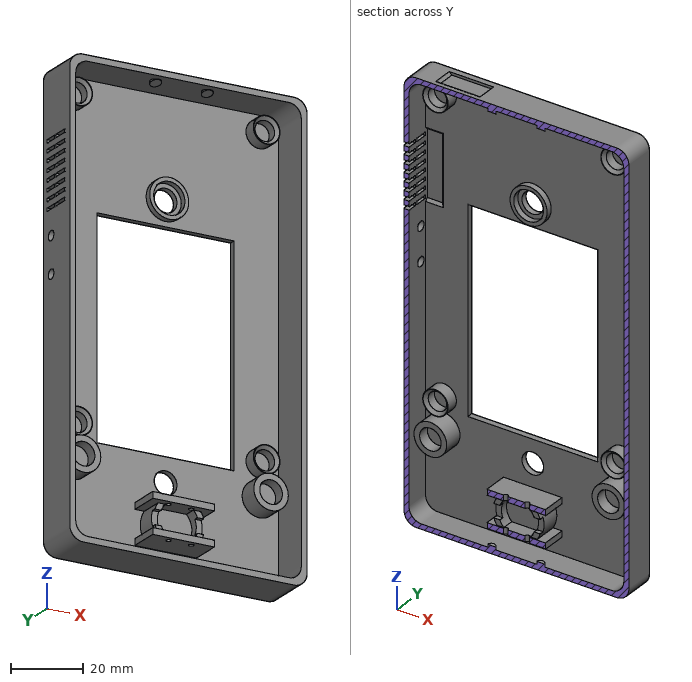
import cadquery as cq
WIDTH = 76.0
DEPTH = 14.8
HEIGHT = 145.0
WALL = 1.9
PLATE = 2.0
OUTER_RADIUS = 4.2
INNER_RADIUS = 4.0
FRONT_Y = -DEPTH / 2
BACK_Y = DEPTH / 2
PLATE_Y = BACK_Y - PLATE
OVERLAP = 0.7

WINDOW_WIDTH = 43.8
WINDOW_TOP = 31.8
WINDOW_BOTTOM = -36.5
MOUNT_HOLE = 7.2
UPPER_MOUNT_Z = 39.6
LOWER_MOUNT_Z = -44.4
MOUNT_BOSS = 12.5
MOUNT_BOSS_HEIGHT = 2.0
MOUNT_RECESS = 10.0
MOUNT_RECESS_DEPTH = 2.0

BOSS_X = 30.0
CORNER_BOSS_ZS = (65.0, -32.9)
CORNER_BOSS = 8.5
CORNER_BOSS_HEIGHT = 4.0
CORNER_MOUTH = 8.3
CORNER_BORE = 6.2
CORNER_BORE_DEPTH = 4.0
POST_Z = -43.5
POST = 11.0
POST_HEIGHT = 6.5
POST_BORE = 7.2
POST_BORE_DEPTH = 3.8

BRACKET_Z = -58.5
SHELF_WIDTH = 19.7
SHELF_THICKNESS = 2.0
SHELF_LENGTH = 10.0
SHELF_GAP = 8.7
SHELF_HOLE = 1.5
SHELF_HOLE_X = 3.6
SHELF_HOLE_Y = -2.6
CHEEK_OUTER = 16.2
CHEEK_INNER = 12.5
CHEEK_LENGTH = 7.7
CHEEK_BORE_DEPTH = 3.9
CHEEK_NOTCH_HEIGHT = 4.6
CHEEK_NOTCH_DEPTH = 1.5

STUD = 3.3
STUD_HEIGHT = 1.2
STUD_FRONT_HEIGHT = 0.1
STUD_X = 8.3
STUD_Y = -3.5

SLOT_ROWS = 8
SLOT_PITCH = 2.9
SLOT_HEIGHT = 1.0
SLOT_MID_Z = 39.7
SLOT_COLUMNS = ((1.2, 5.2), (-4.5, 0.3))
BUTTON_HOLE = 3.0
BUTTON_Y = 3.0
BUTTON_ZS = (21.2, 9.7)

PLATE_RECESS_TOP = 51.9
PLATE_RECESS_BOTTOM = 28.0
PLATE_RECESS_WIDTH = 6.0
TOP_RECESS_LEFT = -28.1
TOP_RECESS_RIGHT = -13.2
TOP_RECESS_FRONT = -1.2
RECESS_SLOPE = 0.9
RECESS_DEPTH = 0.9


def block(x0, x1, y0, y1, z0, z1):
    """Box given by its two limits along each axis."""
    return cq.Workplane("XY").box(x1 - x0, y1 - y0, z1 - z0, centered=False).translate((x0, y0, z0))


def cylinder_y(diameter, x, z, y0, y1):
    """Cylinder along Y between y0 and y1."""
    return cq.Workplane("XZ", origin=(x, y0, z)).circle(diameter / 2).extrude(y0 - y1)


def cylinder_z(diameter, x, y, z0, z1):
    """Cylinder along Z between z0 and z1."""
    return cq.Workplane("XY", origin=(x, y, z0)).circle(diameter / 2).extrude(z1 - z0)


def make_tray():
    outer = block(-WIDTH / 2, WIDTH / 2, FRONT_Y, BACK_Y, -HEIGHT / 2, HEIGHT / 2)
    half_x = WIDTH / 2 - WALL
    half_z = HEIGHT / 2 - WALL
    cavity = block(-half_x, half_x, FRONT_Y, PLATE_Y, -half_z, half_z)
    return outer.edges("|Y").fillet(OUTER_RADIUS).cut(cavity.edges("|Y").fillet(INNER_RADIUS))


def boss(diameter, x, z, height):
    return cylinder_y(diameter, x, z, PLATE_Y - height, PLATE_Y + OVERLAP)


def add_mounts(body):
    """Wall-mounting holes, the upper one in a counterbored boss."""
    body = body.union(boss(MOUNT_BOSS, 0, UPPER_MOUNT_Z, MOUNT_BOSS_HEIGHT))
    boss_face = PLATE_Y - MOUNT_BOSS_HEIGHT
    body = body.cut(cylinder_y(MOUNT_RECESS, 0, UPPER_MOUNT_Z, boss_face, boss_face + MOUNT_RECESS_DEPTH))
    for z in (UPPER_MOUNT_Z, LOWER_MOUNT_Z):
        body = body.cut(cylinder_y(MOUNT_HOLE, 0, z, FRONT_Y, BACK_Y))
    return body


def corner_boss(x, z):
    """Blind boss with a chamfered mouth."""
    face_y = PLATE_Y - CORNER_BOSS_HEIGHT
    bore = cylinder_y(CORNER_BORE, x, z, face_y, face_y + CORNER_BORE_DEPTH)
    mouth_depth = (CORNER_MOUTH - CORNER_BORE) / 2
    mouth = cq.Workplane(cq.Solid.makeCone(CORNER_MOUTH / 2, CORNER_BORE / 2, mouth_depth,
                                           cq.Vector(x, face_y, z), cq.Vector(0, 1, 0)))
    return boss(CORNER_BOSS, x, z, CORNER_BOSS_HEIGHT).cut(bore).cut(mouth)


def post(x, z):
    """Tall blind boss."""
    face_y = PLATE_Y - POST_HEIGHT
    return boss(POST, x, z, POST_HEIGHT).cut(cylinder_y(POST_BORE, x, z, face_y, face_y + POST_BORE_DEPTH))


def add_bosses(body):
    for x in (-BOSS_X, BOSS_X):
        for z in CORNER_BOSS_ZS:
            body = body.union(corner_boss(x, z))
        body = body.union(post(x, POST_Z))
    return body


def make_bracket():
    back = PLATE_Y + OVERLAP
    half_gap = SHELF_GAP / 2
    half_width = SHELF_WIDTH / 2
    cheek_front = PLATE_Y - CHEEK_LENGTH
    bore = cylinder_y(CHEEK_INNER, 0, 0, cheek_front, cheek_front + CHEEK_BORE_DEPTH)
    between_shelves = block(-half_width, half_width, cheek_front, back, -half_gap, half_gap)
    ring = cylinder_y(CHEEK_OUTER, 0, 0, cheek_front, back).cut(bore)
    bracket = ring.intersect(between_shelves)
    half_notch = CHEEK_NOTCH_HEIGHT / 2
    bracket = bracket.cut(block(-half_width, half_width, cheek_front, cheek_front + CHEEK_NOTCH_DEPTH,
                                -half_notch, half_notch))
    for z in (half_gap, -half_gap - SHELF_THICKNESS):
        bracket = bracket.union(block(-half_width, half_width, PLATE_Y - SHELF_LENGTH, back,
                                      z, z + SHELF_THICKNESS))
    reach = half_gap + SHELF_THICKNESS
    for x in (-SHELF_HOLE_X, SHELF_HOLE_X):
        bracket = bracket.cut(cylinder_z(SHELF_HOLE, x, SHELF_HOLE_Y, -reach, reach))
    return bracket.translate((0, 0, BRACKET_Z))


def make_stud(x):
    """Stud on the bottom wall; its end slopes down toward the open rim as a lead-in."""
    wall_z = -HEIGHT / 2 + WALL
    foot_z = wall_z - OVERLAP
    tip_z = wall_z + STUD_HEIGHT
    front = STUD_Y - STUD / 2
    back = STUD_Y + STUD / 2
    wedge = (
        cq.Workplane("YZ", origin=(x - STUD / 2, 0, 0))
        .moveTo(front, foot_z)
        .lineTo(front, wall_z + STUD_FRONT_HEIGHT)
        .lineTo(back, tip_z)
        .lineTo(back, foot_z)
        .close()
        .extrude(STUD)
    )
    return cylinder_z(STUD, x, STUD_Y, foot_z, tip_z).intersect(wedge)


def add_studs(body):
    for x in (-STUD_X, STUD_X):
        stud = make_stud(x)
        body = body.union(stud).union(stud.mirror("XY"))
    return body


def cut_side_wall(body):
    """Vent slots and button holes through the -X wall."""
    outside = -WIDTH / 2
    inside = outside + WALL
    for row in range(SLOT_ROWS):
        z = SLOT_MID_Z + (row - (SLOT_ROWS - 1) / 2) * SLOT_PITCH
        for y0, y1 in SLOT_COLUMNS:
            body = body.cut(block(outside, inside, y0, y1, z - SLOT_HEIGHT / 2, z + SLOT_HEIGHT / 2))
    for z in BUTTON_ZS:
        hole = cq.Workplane("YZ", origin=(outside, BUTTON_Y, z)).circle(BUTTON_HOLE / 2).extrude(WALL)
        body = body.cut(hole)
    return body


def cut_plate_recess(body):
    """Recess in the back plate; its side along the -X wall is straight."""
    left = -WIDTH / 2 + WALL
    right = left + PLATE_RECESS_WIDTH
    mid_z = (PLATE_RECESS_TOP + PLATE_RECESS_BOTTOM) / 2
    height = PLATE_RECESS_TOP - PLATE_RECESS_BOTTOM
    recess = (
        cq.Workplane("XZ", origin=(0, PLATE_Y, mid_z))
        .center((left + right) / 2, 0)
        .rect(PLATE_RECESS_WIDTH, height)
        .workplane(offset=-RECESS_DEPTH)
        .center(-RECESS_SLOPE / 2, 0)
        .rect(PLATE_RECESS_WIDTH - RECESS_SLOPE, height - 2 * RECESS_SLOPE)
        .loft(ruled=True)
    )
    return body.cut(recess)


def cut_top_recess(body):
    """Recess in the top wall; its back side, level with the plate, is straight."""
    mid_x = (TOP_RECESS_LEFT + TOP_RECESS_RIGHT) / 2
    width = TOP_RECESS_RIGHT - TOP_RECESS_LEFT
    length = PLATE_Y - TOP_RECESS_FRONT
    recess = (
        cq.Workplane("XY", origin=(mid_x, (PLATE_Y + TOP_RECESS_FRONT) / 2, HEIGHT / 2))
        .rect(width, length)
        .workplane(offset=-RECESS_DEPTH)
        .center(0, RECESS_SLOPE / 2)
        .rect(width - 2 * RECESS_SLOPE, length - RECESS_SLOPE)
        .loft(ruled=True)
    )
    return body.cut(recess)


result = make_tray()
result = result.cut(block(-WINDOW_WIDTH / 2, WINDOW_WIDTH / 2, PLATE_Y, BACK_Y, WINDOW_BOTTOM, WINDOW_TOP))
result = add_mounts(result)
result = add_bosses(result)
result = result.union(make_bracket())
result = add_studs(result)
result = cut_side_wall(result)
result = cut_plate_recess(result)
result = cut_top_recess(result)